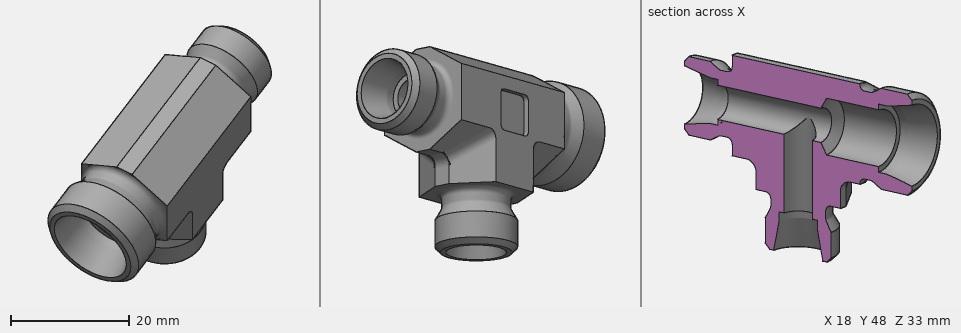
import cadquery as cq
import math

OVERALL_REACH = 24.0
HEX_HALF_ANGLE = math.radians(30)
FLATS_HALF = 8.5
CREST_HALF = 8.95
BLOCK_REACH_SMALL = 13.95
BLOCK_REACH_LARGE = 13.0
CROTCH_RADIUS = 2.0
TRIM_ALLOWANCE = 1.9

THREAD_DEPTH = 1.15
TIP_CHAMFER = 0.95
NECK_FILLET = 1.0
RUNOUT_ANGLE = math.radians(30)

SMALL_THREAD_RADIUS = 14.0 / 2
SMALL_THREAD_START = 18.55
LARGE_THREAD_RADIUS = 18.0 / 2
LARGE_THREAD_START = 17.5

SEAT_HALF_ANGLE = math.radians(12)
SOCKET_DEPTH = 7.0
SMALL_MOUTH_RADIUS = 10.3 / 2
SMALL_TUBE_RADIUS = 8.0 / 2
LARGE_MOUTH_RADIUS = 14.3 / 2
LARGE_TUBE_RADIUS = 12.0 / 2
BORE_RADIUS = 6.0 / 2
LARGE_BORE_RADIUS = 10.0 / 2
LARGE_BORE_END = 6.0
DRILL_POINT_HALF_ANGLE = math.radians(59)

PANEL_SIZE = 7.2
PANEL_CENTRE_Z = -1.0
PANEL_CORNER_RADIUS = 1.0
PANEL_DEPTH = 1.0

FACE_FRONT = 90
FACE_BACK = -90
FACE_DOWN = 180


def hexagon(half_width):
    """Hexagon section with its +-X flats at half_width and its two corners cut flat at the crests."""
    slope = math.tan(HEX_HALF_ANGLE)
    corner_height = FLATS_HALF / math.cos(HEX_HALF_ANGLE)
    shoulder = corner_height - half_width * slope
    crest = (corner_height - CREST_HALF) / slope
    return [
        (half_width, -shoulder),
        (half_width, shoulder),
        (crest, CREST_HALF),
        (-crest, CREST_HALF),
        (-half_width, shoulder),
        (-half_width, -shoulder),
        (-crest, -CREST_HALF),
        (crest, -CREST_HALF),
    ]


def run_prism(y_start, y_end, half_width=FLATS_HALF):
    section = cq.Workplane("XZ", origin=(0, y_end, 0)).polyline(hexagon(half_width)).close()
    return section.extrude(y_end - y_start)


def make_block():
    """Hexagonal run and branch, blended where they meet and then trimmed to the side flats."""
    wide = FLATS_HALF + TRIM_ALLOWANCE
    run = run_prism(-BLOCK_REACH_LARGE, BLOCK_REACH_SMALL, wide)
    branch = cq.Workplane("XY").polyline(hexagon(wide)).close().extrude(-BLOCK_REACH_SMALL)
    block = run.union(branch).clean()
    inner, outer = CREST_HALF / 2, CREST_HALF + TRIM_ALLOWANCE
    for side in (-1, 1):
        crotch = cq.selectors.BoxSelector(
            (-wide, side * inner, -outer), (wide, side * outer, -inner)
        )
        block = block.edges(crotch).fillet(CROTCH_RADIUS)
    slab = cq.Workplane("XY").box(2 * FLATS_HALF, 2 * OVERALL_REACH, 2 * OVERALL_REACH)
    return block.intersect(slab)


def revolve_port(profile):
    """Turn a (radius, reach) profile about Z."""
    return profile.close().revolve(360, (0, 0, 0), (0, 1, 0))


def make_spigot(block_reach, thread_start, thread_radius):
    """Neck, runout cone and thread of a port, pointing along +Z."""
    neck_radius = thread_radius - THREAD_DEPTH
    flare_radius = neck_radius + NECK_FILLET
    flare_end = block_reach + NECK_FILLET
    arc_offset = NECK_FILLET * math.sqrt(0.5)

    cone_foot = thread_start - THREAD_DEPTH / math.tan(RUNOUT_ANGLE)
    tangent = NECK_FILLET * math.tan(RUNOUT_ANGLE / 2)
    blend_start = cone_foot - tangent
    blend_middle = (
        neck_radius + NECK_FILLET * (1 - math.cos(RUNOUT_ANGLE / 2)),
        blend_start + NECK_FILLET * math.sin(RUNOUT_ANGLE / 2),
    )
    blend_end = (
        neck_radius + tangent * math.sin(RUNOUT_ANGLE),
        cone_foot + tangent * math.cos(RUNOUT_ANGLE),
    )
    profile = (
        cq.Workplane("XZ")
        .lineTo(flare_radius, 0)
        .lineTo(flare_radius, block_reach)
        .threePointArc((flare_radius - arc_offset, flare_end - arc_offset), (neck_radius, flare_end))
        .lineTo(neck_radius, blend_start)
        .threePointArc(blend_middle, blend_end)
        .lineTo(thread_radius, thread_start)
        .lineTo(thread_radius, OVERALL_REACH - TIP_CHAMFER)
        .lineTo(thread_radius - TIP_CHAMFER, OVERALL_REACH)
        .lineTo(0, OVERALL_REACH)
    )
    return revolve_port(profile)


def make_socket(mouth_radius, tube_radius, bore_radius):
    """Conical seat, tube socket and bore of a port, pointing along +Z."""
    seat_depth = (mouth_radius - tube_radius) / math.tan(SEAT_HALF_ANGLE)
    profile = cq.Workplane("XZ").lineTo(BORE_RADIUS, 0)
    if bore_radius > BORE_RADIUS:
        taper_end = LARGE_BORE_END - (bore_radius - BORE_RADIUS) / math.tan(DRILL_POINT_HALF_ANGLE)
        profile = profile.lineTo(BORE_RADIUS, taper_end).lineTo(bore_radius, LARGE_BORE_END)
    profile = (
        profile.lineTo(bore_radius, OVERALL_REACH - SOCKET_DEPTH)
        .lineTo(tube_radius, OVERALL_REACH - SOCKET_DEPTH)
        .lineTo(tube_radius, OVERALL_REACH - seat_depth)
        .lineTo(mouth_radius, OVERALL_REACH)
        .lineTo(0, OVERALL_REACH)
    )
    return revolve_port(profile)


def point_port(port, direction):
    """Swing a +Z port about the X axis."""
    return port.rotate((0, 0, 0), (1, 0, 0), direction)


def make_panel():
    """Shallow rounded square recess in the -X flat."""
    return (
        cq.Workplane("YZ", origin=(-FLATS_HALF, 0, PANEL_CENTRE_Z))
        .rect(PANEL_SIZE, PANEL_SIZE)
        .extrude(PANEL_DEPTH)
        .edges("|X")
        .fillet(PANEL_CORNER_RADIUS)
    )


def make_large_spigot():
    """Large spigot facing -Y, its flare trimmed to the hexagon because it is wider than the flats."""
    spigot = point_port(make_spigot(BLOCK_REACH_LARGE, LARGE_THREAD_START, LARGE_THREAD_RADIUS), FACE_FRONT)
    flare_end = BLOCK_REACH_LARGE + NECK_FILLET
    disc = cq.Workplane("XZ").circle(LARGE_THREAD_RADIUS).extrude(flare_end)
    overhang = disc.cut(run_prism(-flare_end, 0))
    return spigot.cut(overhang)


small_spigot = make_spigot(BLOCK_REACH_SMALL, SMALL_THREAD_START, SMALL_THREAD_RADIUS)
small_socket = make_socket(SMALL_MOUTH_RADIUS, SMALL_TUBE_RADIUS, BORE_RADIUS)
large_socket = make_socket(LARGE_MOUTH_RADIUS, LARGE_TUBE_RADIUS, LARGE_BORE_RADIUS)

result = make_block().union(make_large_spigot())
for direction in (FACE_BACK, FACE_DOWN):
    result = result.union(point_port(small_spigot, direction))
for direction in (FACE_BACK, FACE_DOWN):
    result = result.cut(point_port(small_socket, direction))
result = result.cut(point_port(large_socket, FACE_FRONT))
result = result.cut(make_panel())